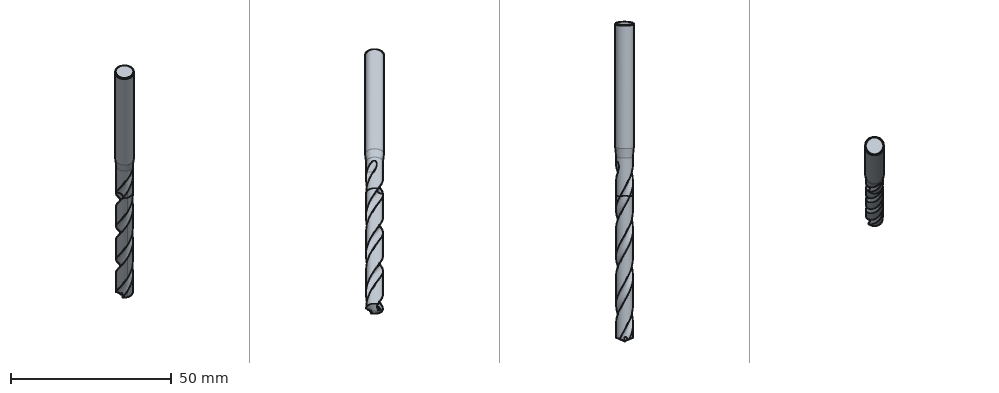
import cadquery as cq
import math

total_length = 101
shank_radius = 6.0 / 2
drill_radius = 5.4 / 2
shank_bottom = 61.8
neck_top = 58.8
joint_height = 46.5
top_chamfer = 0.3
point_height = 1.3

flute_count = 2
flute_pitch = 30.0
flute_end = 54.1
runout_height = 4.5
flute_radius = 1.8
web_radius = 1.36
cutter_overrun = 1
flute_offset = web_radius + flute_radius
runout_slope = 0.25
face_angle = -90
face_height = 29.5

gash_radius = 0.5
gash_offset = 0.9
gash_floor = 0.6
gash_tilt = 17
gash_length = 4


def flute_angle(height):
    """Direction of the first flute, in degrees, at a given height."""
    return face_angle + 360 * (height - face_height) / flute_pitch


def helical_cutter(bottom, top):
    """Twisted bar that cuts one flute between two heights."""
    length = top - bottom
    return (
        cq.Workplane("XY")
        .center(flute_offset, 0)
        .circle(flute_radius)
        .center(-flute_offset, 0)
        .twistExtrude(length, 360 * length / flute_pitch)
        .rotate((0, 0, 0), (0, 0, 1), flute_angle(bottom))
        .translate((0, 0, bottom))
    )


def runout_cutter():
    """Oblique cylinder that continues one flute along its tangent while leaning outward."""
    outward = runout_height * runout_slope
    sideways = runout_height * 2 * math.pi * flute_offset / flute_pitch
    center = cq.Vector(flute_offset, 0, 0)
    circle = cq.Wire.makeCircle(flute_radius, center, cq.Vector(0, 0, 1))
    cutter = cq.Solid.extrudeLinear(circle, [], cq.Vector(outward, sideways, runout_height))
    return (
        cq.Workplane(obj=cutter)
        .rotate((0, 0, 0), (0, 0, 1), flute_angle(flute_end))
        .translate((0, 0, flute_end))
    )


def gash_cutter():
    """Slanted round cutter that thins the web in front of the point."""
    return (
        cq.Workplane("XY", origin=(0, 0, -cutter_overrun))
        .circle(gash_radius)
        .extrude(gash_length)
        .rotate((0, 0, 0), (1, 0, 0), gash_tilt)
        .translate((gash_offset, -gash_floor - gash_radius, 0))
    )


def cut_around(body, cutter):
    """Cut the same shape at equal spacing around the axis."""
    for index in range(flute_count):
        turn = 360 * index / flute_count
        body = body.cut(cutter.rotate((0, 0, 0), (0, 0, 1), turn))
    return body


def make_holder():
    """Shank, taper and the upper part of the fluted neck."""
    blank = (
        cq.Workplane("XZ")
        .moveTo(0, joint_height)
        .lineTo(drill_radius, joint_height)
        .lineTo(drill_radius, neck_top)
        .lineTo(shank_radius, shank_bottom)
        .lineTo(shank_radius, total_length - top_chamfer)
        .lineTo(shank_radius - top_chamfer, total_length)
        .lineTo(0, total_length)
        .close()
        .revolve(360, (0, 0, 0), (0, 1, 0))
    )
    helix = helical_cutter(joint_height - cutter_overrun, flute_end)
    return cut_around(cut_around(blank, helix), runout_cutter())


def make_cutting_bit():
    """Fluted cutting length with a conical, gashed point."""
    blank = (
        cq.Workplane("XZ")
        .moveTo(0, 0)
        .lineTo(drill_radius, point_height)
        .lineTo(drill_radius, joint_height)
        .lineTo(0, joint_height)
        .close()
        .revolve(360, (0, 0, 0), (0, 1, 0))
    )
    helix = helical_cutter(-cutter_overrun, joint_height + cutter_overrun)
    return cut_around(cut_around(blank, helix), gash_cutter())


holder = make_holder()
cutting_bit = make_cutting_bit()
result = cq.Compound.makeCompound([*holder.solids().vals(), *cutting_bit.solids().vals()])